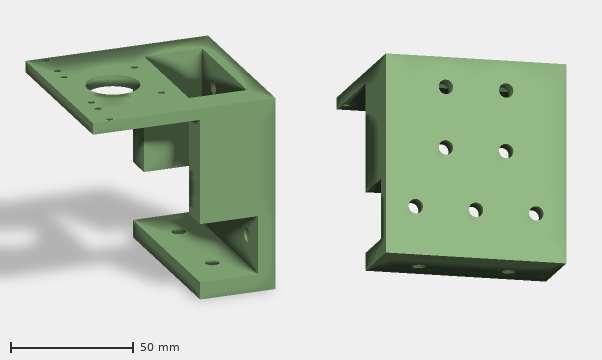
import cadquery as cq

width = 76.2
depth = 79.9
height = 83.7

wall = 7.5
plate_thickness = 5.0
pitch = 25.45
body_depth = wall + pitch
slot_height = pitch
pocket_width = 2 * pitch

mount_diameter = 6.0
lowest_row_z = wall + pitch / 2
base_hole_x = 19.0
base_hole_y = -(wall + pitch / 2)

motor_diameter = 22.5
screw_diameter = 3.0
screw_offset = 15.4
front_row_inset = 8.0
front_row_y = -depth + front_row_inset
motor_y = front_row_y + screw_offset
inner_screw_x = 23.0
outer_screw_x = 35.9


def box(x_size, y_front, y_back, z_bottom, z_top):
    """Block centred in X between the given Y and Z limits."""
    y_size = y_back - y_front
    z_size = z_top - z_bottom
    block = cq.Workplane("XY").box(x_size, y_size, z_size, centered=(True, False, False))
    return block.translate((0, y_front, z_bottom))


def vertical_holes(points, diameter, z_bottom, z_top):
    """Cylinders along Z at (x, y) points."""
    plane = cq.Workplane("XY").workplane(offset=z_bottom)
    return plane.pushPoints(points).circle(diameter / 2).extrude(z_top - z_bottom)


def wall_holes(points):
    """Mounting holes along Y through the back wall at (x, z) points."""
    return cq.Workplane("XZ").pushPoints(points).circle(mount_diameter / 2).extrude(wall)


plate_bottom = height - plate_thickness
body = box(width, -body_depth, 0, 0, height)
body = body.union(box(width, -depth, 0, plate_bottom, height))

slot_top = wall + slot_height
body = body.cut(box(width, -body_depth, -wall, wall, slot_top))
body = body.cut(box(pocket_width, -body_depth, -wall, wall, height))

wall_points = [(x, lowest_row_z) for x in (-pitch, 0, pitch)]
for row in (1, 2):
    wall_points += [(side * pitch / 2, lowest_row_z + row * pitch) for side in (-1, 1)]
body = body.cut(wall_holes(wall_points))

base_points = [(side * base_hole_x, base_hole_y) for side in (-1, 1)]
body = body.cut(vertical_holes(base_points, mount_diameter, 0, wall))

screw_points = []
for side in (-1, 1):
    screw_points.append((side * screw_offset, motor_y + screw_offset))
    for x in (screw_offset, inner_screw_x, outer_screw_x):
        screw_points.append((side * x, front_row_y))
body = body.cut(vertical_holes([(0, motor_y)], motor_diameter, plate_bottom, height))
body = body.cut(vertical_holes(screw_points, screw_diameter, plate_bottom, height))

result = body